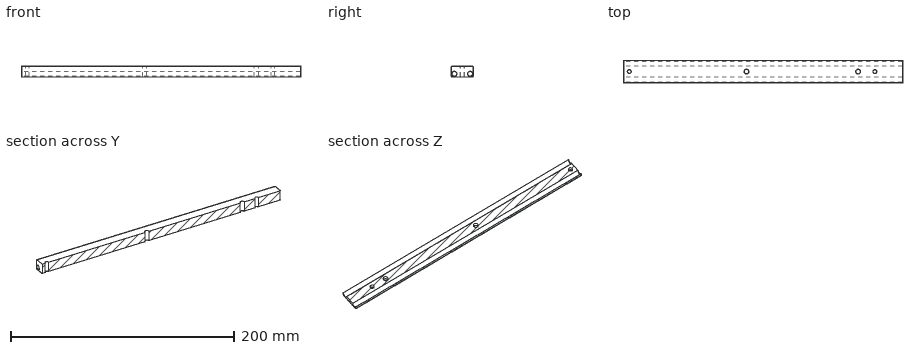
import cadquery as cq

length = 250.0
width = 20.0
height = 10.0
edge_radius = 1.5

small_diameter = 3.2
large_diameter = 4.0
small_positions = [5.0, 225.0]
large_positions = [110.0, 210.0]

bore_diameter = 4.2
bore_spacing = 14.0
bore_drop = 2.0


def rounded_bar():
    """Bar along X, centred on the origin, with its four long edges rounded."""
    return cq.Workplane("XY").box(length, width, height).edges("|X").fillet(edge_radius)


def vertical_holes(positions, diameter):
    """Cylinders through the full height at distances from the -X end."""
    centres = [(position - length / 2, 0) for position in positions]
    return (
        cq.Workplane("XY")
        .workplane(offset=-height / 2)
        .pushPoints(centres)
        .circle(diameter / 2)
        .extrude(height)
    )


def lengthwise_bores():
    """Two cylinders through the full length, side by side below mid height."""
    return (
        cq.Workplane("YZ")
        .workplane(offset=-length / 2)
        .pushPoints([(-bore_spacing / 2, -bore_drop), (bore_spacing / 2, -bore_drop)])
        .circle(bore_diameter / 2)
        .extrude(length)
    )


result = (
    rounded_bar()
    .cut(vertical_holes(small_positions, small_diameter))
    .cut(vertical_holes(large_positions, large_diameter))
    .cut(lengthwise_bores())
)